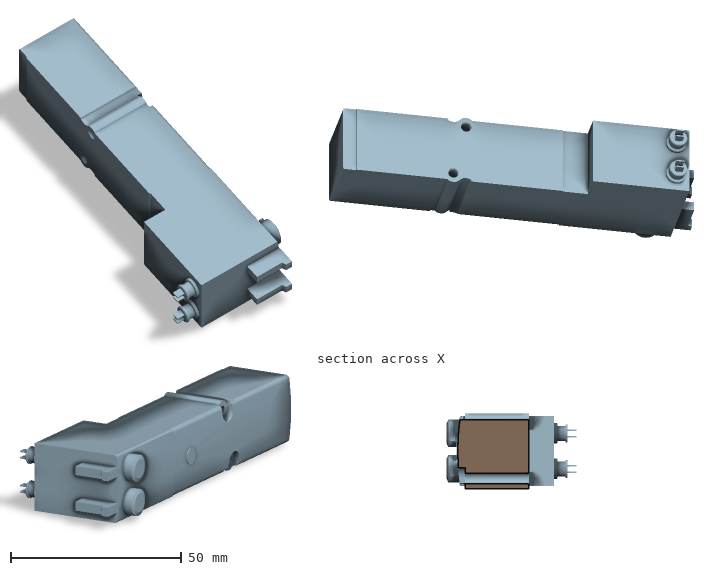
import cadquery as cq
import math


total_length = 108.5
body_end_x = 102.3
half_height = 10.3

valve_end_x = 68.9
valve_crown_drop = 0.8
valve_edge_radius = 1.3
block_crown_drop = 0.7
block_edge_radius = 0.7

valve_front_y = -20.9
recessed_front_y = -20.6
block_front_y = -28.3
cap_end_x = 4.1
raised_end_x = 66.0
block_start_x = 73.5

end_bevel_length = 0.3
end_bevel_height = 0.7

hole_x = 36.9
hole_z = 8.0
hole_diameter = 2.8
hole_mouth_diameter = 3.1
nest_radius = 3.0
nest_spacing = 3.8
groove_bottom_z = 9.3
slope_reach = 1.1
flank_reach = 1.4
flank_run = 0.3
head_recess_diameter = 6.1
head_recess_depth = 2.2

hook_z = 5.4
hook_width = 2.7
hook_depth = 11.7
hook_stem_x = 107.2
lip_depth = 2.1

port_z = 5.2
button_x = 95.3
button_diameter = 8.1
button_height = 3.3
button_bevel_height = 0.5
button_bevel_width = 1.2
tab_height = 1.3
tab_width = 4.5
tab_projection = 0.3
tab_y = 1.4

pad_x = 59.7
pad_diameter = 4.9
pad_height = 0.3

plug_x = 98.3
plug_base_diameter = 6.1
plug_base_length = 1.0
plug_stem_diameter = 4.5
plug_stem_length = 2.4
plug_flange_diameter = 5.3
plug_flange_length = 0.7
plug_chamfer = 0.2
blade_width = 2.3
blade_thickness = 0.4
blade_spacing = 2.0
blade_length = 2.6

embed = 1.1


def box(x_range, y_range, z_range):
    """Axis-aligned box between two limits along each axis."""
    (x0, x1), (y0, y1), (z0, z1) = x_range, y_range, z_range
    return cq.Workplane("XY").box(x1 - x0, y1 - y0, z1 - z0, centered=False).translate((x0, y0, z0))


def cylinder(diameter, x, z, y_start, length):
    """Round feature along +Y that starts at y_start."""
    solid = cq.Workplane("XZ").circle(diameter / 2).extrude(-length)
    return solid.translate((x, y_start, z))


def crowned_bar(x0, x1, front_y, crown_drop, edge_radius):
    """Bar along X with an arched back face and rounded back edges."""
    bar = (
        cq.Workplane("YZ", origin=(x0, 0, 0))
        .moveTo(front_y, -half_height)
        .lineTo(-crown_drop, -half_height)
        .threePointArc((0, 0), (-crown_drop, half_height))
        .lineTo(front_y, half_height)
        .close()
        .extrude(x1 - x0)
    )
    return bar.edges("|X").edges(">Y").fillet(edge_radius)


def body():
    """Valve bar and deeper connection block in one piece."""
    solid = crowned_bar(0, valve_end_x, valve_front_y, valve_crown_drop, valve_edge_radius)
    block = crowned_bar(valve_end_x, body_end_x, valve_front_y, block_crown_drop, block_edge_radius)
    solid = solid.union(block)
    z_range = (-half_height, half_height)
    recess_y = (valve_front_y - embed, recessed_front_y)
    for x_range in ((0, cap_end_x), (raised_end_x, block_start_x)):
        solid = solid.cut(box(x_range, recess_y, z_range))
    block_y = (block_front_y, recessed_front_y + embed)
    return solid.union(box((block_start_x, body_end_x), block_y, z_range))


def end_bevel(side):
    """Wedge removed from the top or bottom edge of the free end."""
    return (
        cq.Workplane("XZ")
        .moveTo(0, side * half_height)
        .lineTo(end_bevel_length, side * half_height)
        .lineTo(0, side * (half_height - end_bevel_height))
        .close()
        .extrude(-valve_front_y)
    )


def arched_strip(x, top_z, sign):
    """Strip along the valve: arched outside, steep on one flank, sloped on the other.

    With sign 1 it stands above the +Z face at x, with sign -1 it sinks below that face.
    """
    centre_z = top_z - sign * nest_radius
    slope_top_z = centre_z + sign * math.sqrt(nest_radius ** 2 - slope_reach ** 2)
    flank_top_z = centre_z + sign * math.sqrt(nest_radius ** 2 - flank_reach ** 2)
    ridge_edge_z = hole_z + math.sqrt(nest_radius ** 2 - slope_reach ** 2)
    groove_edge_z = groove_bottom_z + hole_z + nest_radius - ridge_edge_z
    slope = (ridge_edge_z - groove_edge_z) / (nest_spacing - 2 * slope_reach)
    slope_foot_x = x - sign * slope_reach + (half_height - slope_top_z) / slope
    flank_foot_x = x + sign * (flank_reach + flank_run)
    return (
        cq.Workplane("XZ")
        .moveTo(slope_foot_x, half_height)
        .lineTo(x - sign * slope_reach, slope_top_z)
        .threePointArc((x, top_z), (x + sign * flank_reach, flank_top_z))
        .lineTo(flank_foot_x, half_height)
        .lineTo(flank_foot_x, half_height - sign * embed)
        .lineTo(slope_foot_x, half_height - sign * embed)
        .close()
        .extrude(-valve_front_y)
    )


def mounting_hole():
    """Through hole with a bevelled mouth in front and a screw-head recess behind, open towards +Z."""
    mouth_depth = (hole_mouth_diameter - hole_diameter) / 2
    bore = cylinder(hole_diameter, hole_x, hole_z, valve_front_y, -valve_front_y)
    mouth = cylinder(hole_mouth_diameter, hole_x, hole_z, valve_front_y, 2 * mouth_depth)
    mouth = mouth.faces(">Y").edges().chamfer(mouth_depth)
    recess = cylinder(head_recess_diameter, hole_x, hole_z, -head_recess_depth, head_recess_depth)
    half_width = head_recess_diameter / 2
    opening = box(
        (hole_x - half_width, hole_x + half_width),
        (-head_recess_depth, 0),
        (hole_z, half_height + embed),
    )
    return bore.union(mouth).union(recess).union(opening)


def half_turn(solid):
    """Copy turned half way about the Y line midway between ridge and groove."""
    middle_x = hole_x - nest_spacing / 2
    return solid.rotate((middle_x, 0, 0), (middle_x, 1, 0), 180)


def hook(z):
    """Latch hook behind the block, with a sloped lip at the back."""
    lip_length = total_length - hook_stem_x
    lip_slope = lip_length / 2
    return (
        cq.Workplane("XY", origin=(0, 0, z - hook_width / 2))
        .moveTo(body_end_x - embed, -block_crown_drop)
        .lineTo(body_end_x, -block_crown_drop)
        .lineTo(body_end_x, 0)
        .lineTo(total_length, 0)
        .lineTo(total_length, -lip_depth)
        .lineTo(hook_stem_x, -lip_depth - lip_slope)
        .lineTo(hook_stem_x, -hook_depth)
        .lineTo(body_end_x - embed, -hook_depth)
        .close()
        .extrude(hook_width)
    )


def button(z):
    """Push button with a small side tab."""
    knob = cylinder(button_diameter, button_x, z, -embed, button_height + embed)
    knob = knob.faces(">Y").edges().chamfer(button_bevel_height, button_bevel_width)
    tab_x = button_x - button_diameter / 2 - tab_projection
    tab = box(
        (tab_x, button_x),
        (tab_y - tab_height / 2, tab_y + tab_height / 2),
        (z - tab_width / 2, z + tab_width / 2),
    )
    return knob.union(tab)


def plug(z):
    """Stepped round connector with two flat contact blades."""
    base_y = block_front_y - plug_base_length
    stem_y = base_y - plug_stem_length
    flange_y = stem_y - plug_flange_length
    base = cylinder(plug_base_diameter, plug_x, z, base_y, plug_base_length + embed)
    base = base.faces("<Y").edges().chamfer(plug_chamfer)
    stem = cylinder(plug_stem_diameter, plug_x, z, stem_y, plug_stem_length)
    flange = cylinder(plug_flange_diameter, plug_x, z, flange_y, plug_flange_length)
    flange = flange.faces("<Y").edges().chamfer(plug_chamfer)
    solid = base.union(stem).union(flange)
    for side in (-1, 1):
        blade_z = z + side * blade_spacing / 2
        blade = box(
            (plug_x - blade_width / 2, plug_x + blade_width / 2),
            (flange_y - blade_length, stem_y),
            (blade_z - blade_thickness / 2, blade_z + blade_thickness / 2),
        )
        solid = solid.union(blade)
    return solid


ridge = arched_strip(hole_x, hole_z + nest_radius, 1)
groove = arched_strip(hole_x - nest_spacing, groove_bottom_z, -1)
screw_hole = mounting_hole()
round_pad = cylinder(pad_diameter, pad_x, 0, -embed, embed + pad_height)

result = body().union(round_pad).union(ridge).union(half_turn(ridge))
for cutter in (groove, screw_hole):
    result = result.cut(cutter).cut(half_turn(cutter))
for side in (-1, 1):
    result = result.cut(end_bevel(side))
    result = result.union(hook(side * hook_z))
    result = result.union(button(side * port_z))
    result = result.union(plug(side * port_z))